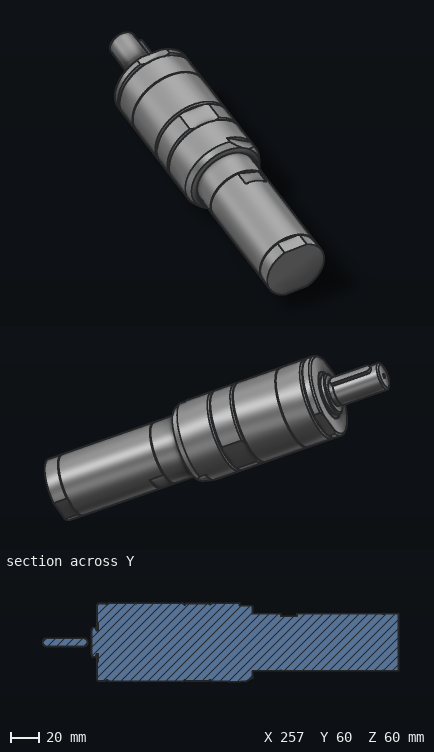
import cadquery as cq
import math

body_dia = 60.0
rear_dia = 46.0
cone_end_dia = 55.3
shaft_dia = 20.0
neck_dia = 19.0
collar_dia = 30.0
recess_dia = 35.0
center_hole_dia = 3.3
pilot_dia = 1.5

neck_start = 36.0
collar_start = 39.5
collar_end = 43.5
cap_start = collar_end
cap_groove = 50.6
band_groove = 71.0
ring_front_groove = 105.5
ring_rear_groove = 123.5
nose_flat_start = 144.5
cone_start = 148.8
cone_end = 153.7
rear_flat_groove = 173.5
rear_flat_start = 173.7
rear_flat_end = 185.0
tail_groove = 246.2
tail_start = 246.0
total_length = 257.0

shaft_chamfer_length = 1.0
shaft_chamfer_radial = 1.5
collar_chamfer_length = 0.8
collar_chamfer_radial = 1.3
cap_chamfer = 1.3
joint_groove_width = 2.5
joint_groove_depth = 1.3
fine_groove_width = 0.8
fine_groove_depth = 0.39
recess_depth = 1.0
pilot_depth = 5.1
center_cone_half_angle = 30.0

body_across_flats = 55.0
rear_across_flats = 42.5
nose_flat_angle = 55.0
rear_flat_angle = 70.0
upright_angle = 90.0

key_start = 5.1
key_length = 31.9
key_width = 6.0
key_top = 12.3


def turned(points):
    """Solid of revolution about the X axis from an (x, radius) outline."""
    return cq.Workplane("XY").polyline(points).close().revolve(360, (0, 0, 0), (1, 0, 0))


def cylinder(x_start, x_end, diameter):
    """Solid cylinder along X between two stations."""
    return cq.Workplane("YZ", origin=(x_start, 0, 0)).circle(diameter / 2).extrude(x_end - x_start)


def v_groove(x_center, diameter, width, depth):
    """Ring with a triangular section that cuts a V groove into a cylinder."""
    rim = diameter / 2
    return turned([
        (x_center - width / 2, rim),
        (x_center, rim - depth),
        (x_center + width / 2, rim),
    ])


def flat_pair(x_start, x_end, across_flats, angle):
    """Two opposite cutters; angle turns the flat's normal from +Y toward +Z."""
    length = x_end - x_start
    depth = body_dia
    offset = (across_flats + depth) / 2
    cutters = cq.Workplane("XY")
    for side in (-1, 1):
        cutters = cutters.add(
            cq.Workplane("XY").box(length, depth, 2 * body_dia)
            .translate((x_start + length / 2, side * offset, 0))
            .rotate((0, 0, 0), (1, 0, 0), angle)
        )
    return cutters.combine()


def front_shaft():
    """Shaft with a beveled tip and a slimmer neck in front of the collar."""
    rim = shaft_dia / 2
    tip = turned([
        (0, 0),
        (0, rim - shaft_chamfer_radial),
        (shaft_chamfer_length, rim),
        (neck_start, rim),
        (neck_start, 0),
    ])
    return tip.union(cylinder(neck_start, collar_start, neck_dia))


def shaft_key():
    """Round-ended key standing out of the +Y side of the shaft."""
    plan = cq.Workplane("XZ").center(key_start + key_length / 2, 0).slot2D(key_length, key_width)
    return plan.extrude(-key_top)


def collar():
    """Collar beveled at both ends, standing in the recess of the front cap."""
    rim = collar_dia / 2
    bevel_rim = rim - collar_chamfer_radial
    seat = cap_start + recess_depth
    return turned([
        (collar_start, 0),
        (collar_start, bevel_rim),
        (collar_start + collar_chamfer_length, rim),
        (collar_end - collar_chamfer_length, rim),
        (collar_end, bevel_rim),
        (seat, bevel_rim),
        (seat, 0),
    ])


def main_body():
    """Front cap, grooved housing and tapered nose, with three pairs of flats."""
    body = cylinder(cap_start, cone_start, body_dia).faces("<X").chamfer(cap_chamfer)
    cone_length = cone_end - cone_start
    cone = (
        cq.Workplane("YZ", origin=(cone_start, 0, 0)).circle(body_dia / 2)
        .workplane(offset=cone_length).circle(cone_end_dia / 2).loft()
    )
    body = body.union(cone)
    for station in (cap_groove, ring_front_groove, ring_rear_groove):
        body = body.cut(v_groove(station, body_dia, joint_groove_width, joint_groove_depth))
    body = body.cut(v_groove(band_groove, body_dia, fine_groove_width, fine_groove_depth))
    body = body.cut(flat_pair(cap_start, cap_groove, body_across_flats, upright_angle))
    body = body.cut(flat_pair(ring_front_groove, ring_rear_groove, body_across_flats, upright_angle))
    body = body.cut(flat_pair(nose_flat_start, cone_end, body_across_flats, nose_flat_angle))
    return body.cut(cylinder(cap_start, cap_start + recess_depth, recess_dia))


def rear_body():
    """Slim rear cylinder with two fine grooves and two pairs of flats."""
    body = cylinder(cone_end, total_length, rear_dia)
    for station in (rear_flat_groove, tail_groove):
        body = body.cut(v_groove(station, rear_dia, fine_groove_width, fine_groove_depth))
    body = body.cut(flat_pair(rear_flat_start, rear_flat_end, rear_across_flats, rear_flat_angle))
    return body.cut(flat_pair(tail_start, total_length, rear_across_flats, upright_angle))


def center_hole():
    """Conical center hole in the shaft tip with a small pilot bore."""
    cone_depth = (center_hole_dia - pilot_dia) / 2 / math.tan(math.radians(center_cone_half_angle))
    return turned([
        (0, 0),
        (0, center_hole_dia / 2),
        (cone_depth, pilot_dia / 2),
        (pilot_depth, pilot_dia / 2),
        (pilot_depth, 0),
    ])


result = (
    main_body()
    .union(rear_body())
    .union(collar())
    .union(front_shaft())
    .union(shaft_key())
    .cut(center_hole())
)